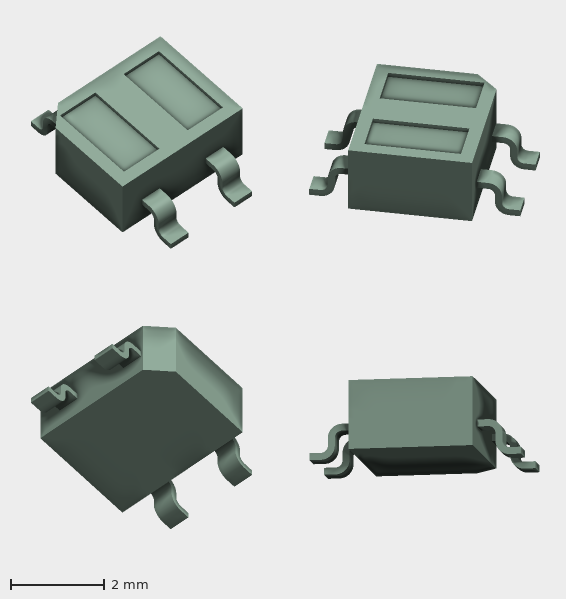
import cadquery as cq

span = 4.6
body_length = 2.7
body_width = 3.4
body_height = 1.5
standoff = 0.12
corner_chamfer = 0.5

window_length = 2.1
window_width = 1.0
window_depth = 0.1

row_pitch = 1.8
lead_width = 0.5
lead_thickness = 0.15
inner_radius = 0.15
lead_height = 0.775
foot_flat = 0.25

row_positions = (-row_pitch / 2, row_pitch / 2)


def make_body():
    """Block with one chamfered vertical corner and two sunken windows."""
    body = (
        cq.Workplane("XY")
        .workplane(offset=standoff)
        .rect(body_length, body_width)
        .extrude(body_height)
    )
    body = body.edges("|Z and <X and <Y").chamfer(corner_chamfer)
    windows = (
        cq.Workplane("XY")
        .workplane(offset=standoff + body_height - window_depth)
        .pushPoints([(0, y) for y in row_positions])
        .rect(window_length, window_width)
        .extrude(window_depth)
    )
    return body.cut(windows)


def make_lead(y_center):
    """Lead on the +X side, from the body wall down to its foot."""
    outer_radius = inner_radius + lead_thickness
    toe_x = span / 2
    foot_x = toe_x - foot_flat
    shank_outer_x = foot_x - inner_radius
    shank_inner_x = shank_outer_x - lead_thickness
    shoulder_x = shank_outer_x - outer_radius
    wall_x = body_length / 2
    upper_bend_z = lead_height - outer_radius
    profile = (
        cq.Workplane("XZ", origin=(0, y_center, 0))
        .moveTo(wall_x, lead_height)
        .lineTo(shoulder_x, lead_height)
        .radiusArc((shank_outer_x, upper_bend_z), outer_radius)
        .lineTo(shank_outer_x, outer_radius)
        .radiusArc((foot_x, lead_thickness), -inner_radius)
        .lineTo(toe_x, lead_thickness)
        .lineTo(toe_x, 0)
        .lineTo(foot_x, 0)
        .radiusArc((shank_inner_x, outer_radius), outer_radius)
        .lineTo(shank_inner_x, upper_bend_z)
        .radiusArc((shoulder_x, lead_height - lead_thickness), -inner_radius)
        .lineTo(wall_x, lead_height - lead_thickness)
        .close()
    )
    return profile.extrude(lead_width / 2, both=True)


result = make_body()
for y_center in row_positions:
    lead = make_lead(y_center)
    result = result.union(lead).union(lead.mirror("YZ"))